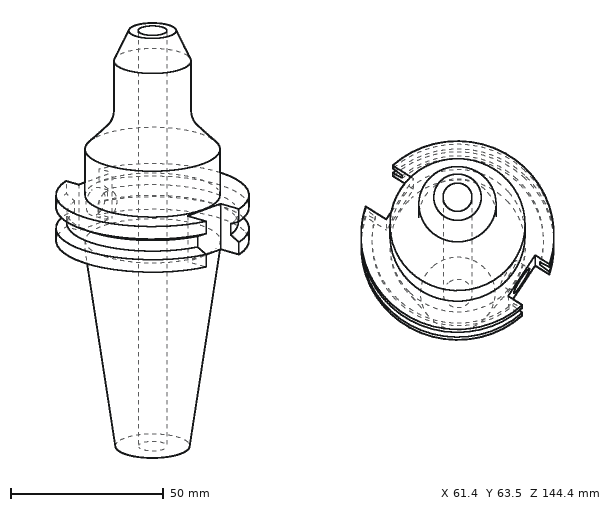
import cadquery as cq
import math


gauge_diameter = 44.45
taper_length = 68.25
taper_ratio = 7 / 24

flange_diameter = 63.5
flange_bottom_z = 3.175
flange_top_z = 19.05

groove_root_diameter = 56.36
groove_root_width = 3.7
groove_flank_angle = 26

nose_end_z = 76.2
shoulder_z = 35.0
shoulder_angle = 45
nose_diameter = 25.4
neck_radius = 10.0
tip_length = 10.5
tip_angle = 25
bore_diameter = 9.525

slot_width = 16.38
slot_floor_minus_x = 25.1
slot_floor_plus_x = 22.6
chip_hole_diameter = 9.525
chip_hole_depth = 5.2

body_radius = gauge_diameter / 2
flange_radius = flange_diameter / 2
nose_radius = nose_diameter / 2
flange_height = flange_top_z - flange_bottom_z
flange_mid_z = (flange_bottom_z + flange_top_z) / 2


def make_body():
    """Revolve the taper, the body and the nose in one profile."""
    small_end_radius = body_radius - taper_length * taper_ratio / 2
    tip_radius = nose_radius - tip_length * math.tan(math.radians(tip_angle))

    turn = math.radians(shoulder_angle)
    neck_start_radius = nose_radius + neck_radius * (1 - math.cos(turn))
    neck_start_z = shoulder_z + (body_radius - neck_start_radius) / math.tan(turn)
    neck_end_z = neck_start_z + neck_radius * math.sin(turn)
    neck_mid = (
        nose_radius + neck_radius * (1 - math.cos(turn / 2)),
        neck_end_z - neck_radius * math.sin(turn / 2),
    )

    profile = (
        cq.Workplane("XZ")
        .moveTo(0, -taper_length)
        .lineTo(small_end_radius, -taper_length)
        .lineTo(body_radius, 0)
        .lineTo(body_radius, shoulder_z)
        .lineTo(neck_start_radius, neck_start_z)
        .threePointArc(neck_mid, (nose_radius, neck_end_z))
        .lineTo(nose_radius, nose_end_z - tip_length)
        .lineTo(tip_radius, nose_end_z)
        .lineTo(0, nose_end_z)
        .close()
    )
    return profile.revolve(360, (0, 0), (0, 1))


def make_flange():
    """Revolve the flange with its V-shaped gripper groove."""
    root_radius = groove_root_diameter / 2
    root_half = groove_root_width / 2
    flank_rise = (flange_radius - root_radius) * math.tan(math.radians(groove_flank_angle))
    mouth_half = root_half + flank_rise

    profile = (
        cq.Workplane("XZ")
        .moveTo(0, flange_bottom_z)
        .lineTo(flange_radius, flange_bottom_z)
        .lineTo(flange_radius, flange_mid_z - mouth_half)
        .lineTo(root_radius, flange_mid_z - root_half)
        .lineTo(root_radius, flange_mid_z + root_half)
        .lineTo(flange_radius, flange_mid_z + mouth_half)
        .lineTo(flange_radius, flange_top_z)
        .lineTo(0, flange_top_z)
        .close()
    )
    return profile.revolve(360, (0, 0), (0, 1))


def make_drive_slot(floor_distance, side):
    """Cutter for one drive slot; side is -1 for -X and +1 for +X."""
    depth = flange_radius - floor_distance
    mid_x = side * (floor_distance + depth / 2)
    return cq.Workplane("XY").box(depth, slot_width, flange_height).translate((mid_x, 0, flange_mid_z))


def make_chip_hole():
    """Cutter for the blind hole in the floor of the -X drive slot."""
    floor_plane = cq.Plane(
        origin=(-slot_floor_minus_x, 0, flange_mid_z),
        xDir=(0, 1, 0),
        normal=(1, 0, 0),
    )
    return cq.Workplane(floor_plane).circle(chip_hole_diameter / 2).extrude(chip_hole_depth)


def make_bore():
    """Cutter for the through bore along the axis."""
    length = taper_length + nose_end_z
    return cq.Workplane("XY", origin=(0, 0, -taper_length)).circle(bore_diameter / 2).extrude(length)


result = (
    make_body()
    .union(make_flange())
    .cut(make_drive_slot(slot_floor_minus_x, -1))
    .cut(make_drive_slot(slot_floor_plus_x, 1))
    .cut(make_chip_hole())
    .cut(make_bore())
)